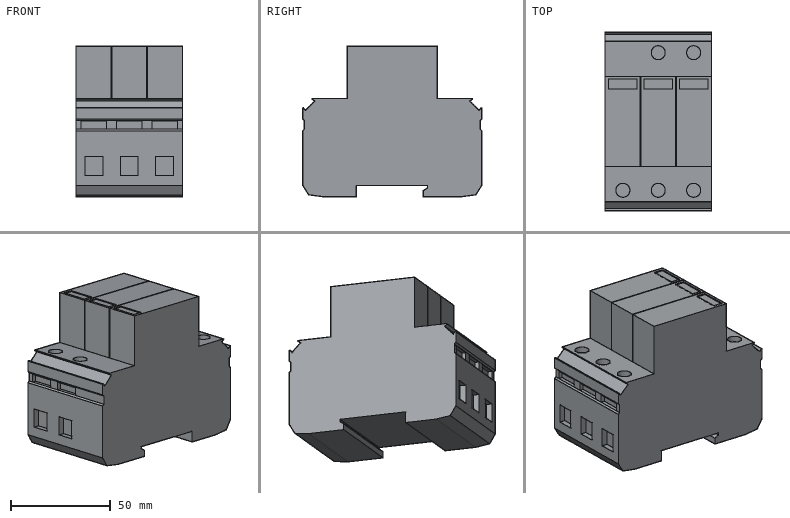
import cadquery as cq

width = 53.4
depth = 89.8
height = 75.5
half_depth = depth / 2

module_pitch = 17.7
module_centres = [-module_pitch, 0, module_pitch]
rear_terminal_centres = [0, module_pitch]

housing_top = 49.3
top_lip_reach = 40.3
top_lip_thickness = 0.3
bevel_top = (38.8, 48.0)
bevel_bottom = (43.5, 43.4)
wall_lip_inner = (44.5, 44.75)
wall_top = 44.5
band_depth = 0.8
band_slope = 0.8
band_bottom = 33.1
band_top = 39.0
foot_top = 5.8
foot_corner = (41.9, 1.0)
foot_flat_reach = 34.4

rail_depth = 5.6
rail_front = -17.9
rail_rear = 15.5
rail_hook_reach = 17.6
rail_hook_top = 4.5
rail_hook_bottom = 3.2

plug_depth = 45.2
plug_gap = 0.4
label_width = 14.2
label_length = 5.0
label_depth = 0.5
label_edge_margin = 1.4

screw_hole_diameter = 7.0
screw_hole_depth = 3.0
screw_hole_y = 34.45
wire_entry_width = 9.0
wire_entry_height = 9.5
wire_entry_bottom = 10.8
wire_entry_depth = 3.0
window_width = 12.8
window_depth = 2.0
window_top_margin = 0.3


def end_outline(side):
    """Profile points from the foot to the top of one end; side is -1 (front) or +1 (rear)."""
    band_face = half_depth - band_depth
    points = [
        (foot_flat_reach, 0),
        foot_corner,
        (half_depth, foot_top),
        (half_depth, band_bottom),
        (band_face, band_bottom + band_slope),
        (band_face, band_top - band_slope),
        (half_depth, band_top),
        (half_depth, wall_top),
        wall_lip_inner,
        bevel_bottom,
        bevel_top,
        (top_lip_reach, housing_top - top_lip_thickness),
        (top_lip_reach - top_lip_thickness, housing_top),
    ]
    return [(side * reach, z) for reach, z in points]


def make_housing():
    """Housing extruded along X, with the hooked rail channel in its underside."""
    rail_channel = [
        (rail_rear, 0),
        (rail_rear, rail_hook_bottom),
        (rail_hook_reach, rail_hook_top),
        (rail_hook_reach, rail_depth),
        (rail_front, rail_depth),
        (rail_front, 0),
    ]
    front_end = end_outline(-1)
    rear_end = end_outline(1)
    outline = front_end + rear_end[::-1] + rail_channel
    return cq.Workplane("YZ").polyline(outline).close().extrude(width / 2, both=True)


def box_at(x, y_range, z_range, x_size):
    """Box centred on x that spans the given Y and Z ranges."""
    y_min, y_max = sorted(y_range)
    z_min, z_max = z_range
    box = cq.Workplane("XY").box(x_size, y_max - y_min, z_max - z_min, centered=(True, False, False))
    return box.translate((x, y_min, z_min))


def add_plugs(body):
    """Row of cartridges on the housing, parted by narrow gaps and recessed for labels."""
    half_plug = plug_depth / 2
    above_housing = (housing_top, height)
    body = body.union(box_at(0, (-half_plug, half_plug), above_housing, width))
    for side in (-1, 1):
        gap_x = side * module_pitch / 2
        body = body.cut(box_at(gap_x, (-half_plug, half_plug), above_housing, plug_gap))
    label_rear = half_plug - label_edge_margin
    for x in module_centres:
        label_y = (label_rear - label_length, label_rear)
        body = body.cut(box_at(x, label_y, (height - label_depth, height), label_width))
    return body


def cut_terminal(body, x, side):
    """Screw hole, square wire entry and band window of one terminal."""
    screw_hole = (
        cq.Workplane("XY")
        .workplane(offset=housing_top - screw_hole_depth)
        .center(x, side * screw_hole_y)
        .circle(screw_hole_diameter / 2)
        .extrude(screw_hole_depth)
    )
    entry_y = (side * (half_depth - wire_entry_depth), side * half_depth)
    entry_z = (wire_entry_bottom, wire_entry_bottom + wire_entry_height)
    wire_entry = box_at(x, entry_y, entry_z, wire_entry_width)
    band_face = half_depth - band_depth
    window_y = (side * (band_face - window_depth), side * band_face)
    window_z = (band_bottom + band_slope, band_top - band_slope - window_top_margin)
    window = box_at(x, window_y, window_z, window_width)
    return body.cut(screw_hole).cut(wire_entry).cut(window)


result = add_plugs(make_housing())
for module_x in module_centres:
    result = cut_terminal(result, module_x, -1)
for module_x in rear_terminal_centres:
    result = cut_terminal(result, module_x, 1)